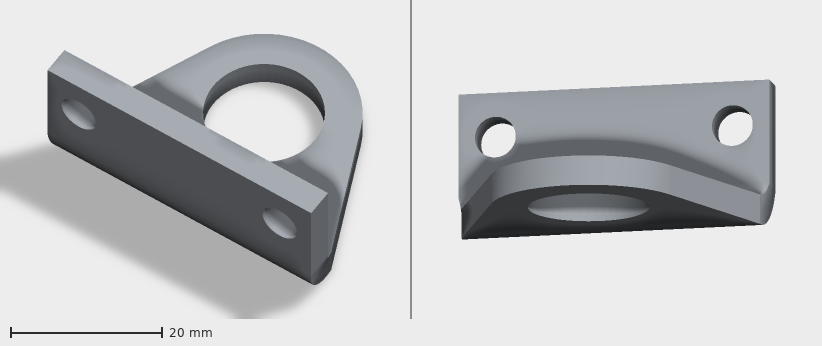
import cadquery as cq
import math

width = 42.0
height = 20.0
thickness = 4.0
inner_bend_radius = 2.0
outer_bend_radius = inner_bend_radius + thickness

eye_radius = 13.0
eye_hole_diameter = 16.1
eye_center_y = 20.0

mount_hole_diameter = 5.5
mount_hole_spacing = 32.0
mount_hole_from_top = 6.0

half_width = width / 2

flank_rise = eye_center_y - thickness
flank_angle = math.acos(eye_radius / math.hypot(half_width, flank_rise)) - math.atan2(flank_rise, half_width)
tangent_x = eye_radius * math.cos(flank_angle)
tangent_y = eye_center_y + eye_radius * math.sin(flank_angle)
flat_half_width = tangent_x + (tangent_y - outer_bend_radius) * math.tan(flank_angle)


def upright_plate():
    plate_height = height - outer_bend_radius
    plate = cq.Workplane("XY").box(width, thickness, plate_height, centered=(True, False, False))
    plate = plate.translate((0, 0, outer_bend_radius))
    hole_z = height - mount_hole_from_top
    holes = (
        cq.Workplane("XZ", origin=(0, 0, hole_z))
        .rarray(mount_hole_spacing, 0.4, 2, 1)
        .circle(mount_hole_diameter / 2)
        .extrude(-thickness)
    )
    return plate.cut(holes)


def eye_plate():
    return (
        cq.Workplane("XY")
        .moveTo(-flat_half_width, outer_bend_radius)
        .lineTo(-tangent_x, tangent_y)
        .threePointArc((0, eye_center_y + eye_radius), (tangent_x, tangent_y))
        .lineTo(flat_half_width, outer_bend_radius)
        .close()
        .moveTo(0, eye_center_y)
        .circle(eye_hole_diameter / 2)
        .extrude(thickness)
    )


def bend_side_cutter():
    reach = 2 * outer_bend_radius
    return (
        cq.Workplane("YZ", origin=(flat_half_width, outer_bend_radius, outer_bend_radius))
        .rect(reach, -reach, centered=False)
        .twistExtrude(half_width - flat_half_width, -90)
    )


def bend():
    diagonal = math.sqrt(0.5)
    outer_mid = outer_bend_radius * (1 - diagonal)
    inner_mid = outer_bend_radius - inner_bend_radius * diagonal
    blank = (
        cq.Workplane("YZ", origin=(-half_width, 0, 0))
        .moveTo(0, outer_bend_radius)
        .threePointArc((outer_mid, outer_mid), (outer_bend_radius, 0))
        .lineTo(outer_bend_radius, thickness)
        .threePointArc((inner_mid, inner_mid), (thickness, outer_bend_radius))
        .close()
        .extrude(width)
    )
    cutter = bend_side_cutter()
    return blank.cut(cutter).cut(cutter.mirror("YZ"))


result = upright_plate().union(bend()).union(eye_plate())